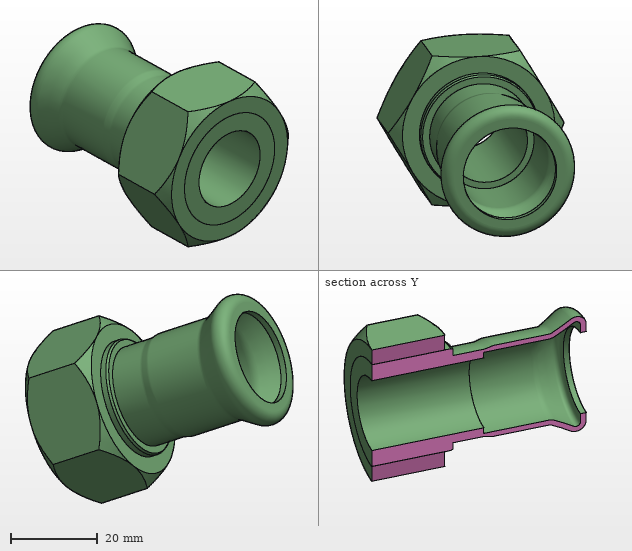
import cadquery as cq
import math

length = 53.0

bead_radius = 15.75
bead_roll = 2.55
socket_radius = 25.0 / 2
socket_bore = 11.0
wall = socket_radius - socket_bore
bead_angle = math.radians(30)
bend_radius = 2.1

neck_radius = 24.0 / 2
neck_bore = 9.5
taper_start = 22.8
taper_angle = math.radians(14)
collar_radius = 28.0 / 2
collar_start = 32.9
collar_chamfer_length = 0.6
collar_chamfer_height = 0.3

nut_start = 34.95
nut_flats = 36.0
nut_corner_diameter = nut_flats / math.cos(math.radians(30))
nut_corner_overhang = (nut_corner_diameter - nut_flats) / 2
nut_chamfer_angle = math.radians(45)


def polar(center, radius, angle):
    """Point on a circle, with the angle measured from +radial toward +X."""
    x, r = center
    return (x + radius * math.sin(angle), r + radius * math.cos(angle))


bead_center = (bead_roll, bead_radius - bead_roll)
bead_flank_start = polar(bead_center, bead_roll, bead_angle)
bend_center_r = socket_radius + bend_radius
bend_start_r = bend_center_r - bend_radius * math.cos(bead_angle)
flank_length_x = (bead_flank_start[1] - bend_start_r) / math.tan(bead_angle)
bend_center = (
    bead_flank_start[0] + flank_length_x + bend_radius * math.sin(bead_angle),
    bend_center_r,
)

taper_bend_x = bend_radius * math.sin(taper_angle)
taper_bend_drop = bend_radius * (1 - math.cos(taper_angle))
taper_drop = socket_radius - neck_radius - 2 * taper_bend_drop
taper_end = taper_start + 2 * taper_bend_x + taper_drop / math.tan(taper_angle)
taper_first_center = (taper_start, socket_radius - bend_radius)
taper_last_center = (taper_end, neck_radius + bend_radius)


def add_bead_skin(outline, roll, bend):
    """Continue an outline from the bead's front, over its crown, to the socket cylinder."""
    front_to_flank_middle = (bead_angle - math.pi / 2) / 2
    return (
        outline
        .threePointArc(
            polar(bead_center, roll, front_to_flank_middle),
            polar(bead_center, roll, bead_angle),
        )
        .lineTo(*polar(bend_center, bend, math.pi + bead_angle))
        .threePointArc(
            polar(bend_center, bend, math.pi + bead_angle / 2),
            polar(bend_center, bend, math.pi),
        )
    )


def revolve_about_x(outline):
    return outline.close().revolve(360, (0, 0, 0), (1, 0, 0))


def make_sleeve_body():
    outline = cq.Workplane("XY").moveTo(0, 0).lineTo(0, bead_center[1])
    outline = add_bead_skin(outline, bead_roll, bend_radius)
    outline = (
        outline
        .lineTo(taper_start, socket_radius)
        .threePointArc(
            polar(taper_first_center, bend_radius, taper_angle / 2),
            polar(taper_first_center, bend_radius, taper_angle),
        )
        .lineTo(*polar(taper_last_center, bend_radius, math.pi + taper_angle))
        .threePointArc(
            polar(taper_last_center, bend_radius, math.pi + taper_angle / 2),
            (taper_end, neck_radius),
        )
        .lineTo(collar_start, neck_radius)
        .lineTo(collar_start, collar_radius - collar_chamfer_height)
        .lineTo(collar_start + collar_chamfer_length, collar_radius)
        .lineTo(length, collar_radius)
        .lineTo(length, 0)
    )
    return revolve_about_x(outline)


def make_sleeve_bore():
    """Mouth, seal groove inside the bead, socket bore and narrower neck bore."""
    outline = (
        cq.Workplane("XY")
        .moveTo(0, 0)
        .lineTo(0, socket_bore)
        .lineTo(wall, socket_bore)
        .lineTo(wall, bead_center[1])
    )
    outline = add_bead_skin(outline, bead_roll - wall, bend_radius + wall)
    outline = (
        outline
        .lineTo(taper_end, socket_bore)
        .lineTo(taper_end, neck_bore)
        .lineTo(length, neck_bore)
        .lineTo(length, 0)
    )
    return revolve_about_x(outline)


def make_sleeve():
    return make_sleeve_body().cut(make_sleeve_bore())


def make_nut():
    """Hexagon with two corners along Y, chamfered at both ends and bored for the sleeve."""
    hexagon = (
        cq.Workplane("YZ", origin=(nut_start, 0, 0))
        .polygon(6, nut_corner_diameter)
        .extrude(length - nut_start)
    )
    chamfer_length = nut_corner_overhang * math.tan(nut_chamfer_angle)
    chamfer_envelope = revolve_about_x(
        cq.Workplane("XY")
        .moveTo(nut_start, collar_radius)
        .lineTo(nut_start, nut_flats / 2)
        .lineTo(nut_start + chamfer_length, nut_corner_diameter / 2)
        .lineTo(length - chamfer_length, nut_corner_diameter / 2)
        .lineTo(length, nut_flats / 2)
        .lineTo(length, collar_radius)
    )
    return hexagon.intersect(chamfer_envelope)


sleeve = make_sleeve()
nut = make_nut()

result = cq.Compound.makeCompound([sleeve.solids().val(), nut.solids().val()])